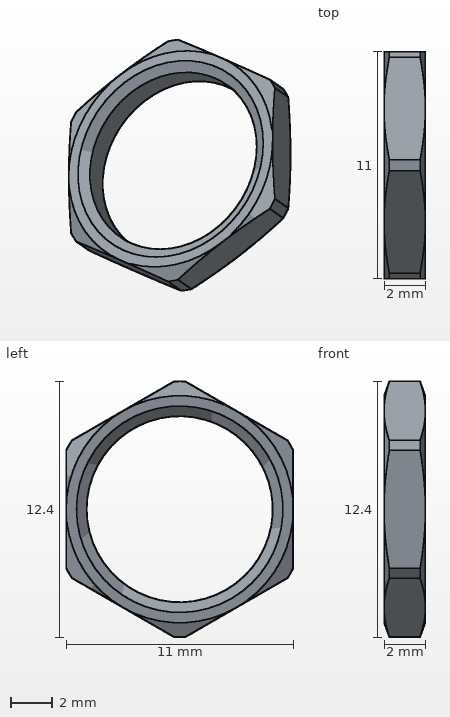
import cadquery as cq
import math

thickness = 2.0
across_flats = 11.0
corner_diameter = 12.4
bore_diameter = 9.0
bore_mouth_diameter = 10.0
bore_chamfer_angle = 30.0
corner_chamfer_angle = 20.0

half_thickness = thickness / 2
hex_sides = 6
half_side_angle = 180 / hex_sides
corner_radius = corner_diameter / 2
face_radius = across_flats / 2
bore_radius = bore_diameter / 2
bore_mouth_radius = bore_mouth_diameter / 2

corner_chamfer_depth = (corner_radius - face_radius) * math.tan(math.radians(corner_chamfer_angle))
bore_chamfer_depth = (bore_mouth_radius - bore_radius) * math.tan(math.radians(bore_chamfer_angle))


def hex_prism():
    """Hexagonal bar centred on the origin, with flats facing +Y and -Y."""
    across_corners = across_flats / math.cos(math.radians(half_side_angle))
    prism = cq.Workplane("YZ").polygon(hex_sides, across_corners).extrude(half_thickness, both=True)
    return prism.rotate((0, 0, 0), (1, 0, 0), half_side_angle)


def turned_ring():
    """Ring revolved about X, carrying the corner and bore chamfers of both ends."""
    corner_x = half_thickness - corner_chamfer_depth
    bore_x = half_thickness - bore_chamfer_depth
    profile = [
        (-half_thickness, bore_mouth_radius),
        (-half_thickness, face_radius),
        (-corner_x, corner_radius),
        (corner_x, corner_radius),
        (half_thickness, face_radius),
        (half_thickness, bore_mouth_radius),
        (bore_x, bore_radius),
        (-bore_x, bore_radius),
    ]
    return cq.Workplane("XY").polyline(profile).close().revolve(360, (0, 0, 0), (1, 0, 0))


result = hex_prism().intersect(turned_ring())